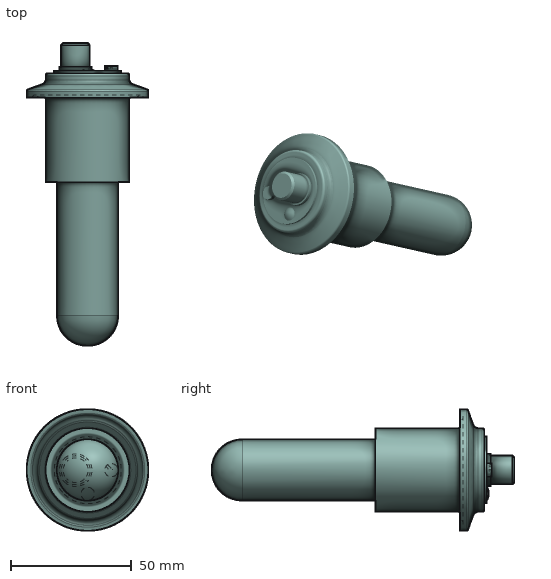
import cadquery as cq
import math


overall_length = 125.5
rod_radius = 25.5 / 2
sleeve_radius = 34.7 / 2
sleeve_length = 35.0
sleeve_root_fillet = 0.5

flange_radius = 50.5 / 2
rim_thickness = 3.2
cone_angle = 20.0
rim_fillet = 0.8
cone_root_fillet = 2.0

groove_center_radius = 21.8
groove_half_width = 1.8
groove_arc_radius = 1.2
groove_lip_radius = 0.75

head_top = 10.1
head_edge_fillet = 1.0
cover_radius = 27.8 / 2
cover_thickness = 1.1
cover_top = head_top + cover_thickness

connector_x = -5.0
connector_radius = 12.0 / 2
connector_tip_radius = 10.3 / 2
connector_collar_radius = 13.5 / 2
connector_collar_height = 1.5
connector_height = 11.4
connector_top = cover_top + connector_height

vent_x = 9.8
vent_radius = 5.5 / 2
vent_height = 1.9
vent_hole_diameter = 1.0
vent_hole_drop = 0.75
vent_hole_angle = 135.0

dome_z = -vent_x
dome_radius = 5.5 / 2
dome_height = 0.8

tip_y = connector_top - overall_length
match_tolerance = 1e-3


def disc(radius, y_start, height, x=0.0):
    """Cylinder along +Y, starting at y_start."""
    return cq.Workplane(cq.Solid.makeCylinder(radius, height, cq.Vector(x, y_start, 0), cq.Vector(0, 1, 0)))


def fillet_ring(body, radius, y, size):
    """Fillet the circular edge of the given radius that lies in the plane at y."""
    def is_ring(edge):
        return abs(edge.radius() - radius) < match_tolerance and abs(edge.Center().y - y) < match_tolerance

    return body.edges("%CIRCLE").filter(is_ring).fillet(size)


def make_body():
    """Rod with round tip, sleeve, conical clamp flange and head."""
    cone_rise = (flange_radius - sleeve_radius) * math.tan(math.radians(cone_angle))
    cone_top = rim_thickness + cone_rise
    rod_end = tip_y + rod_radius
    tip_arc_offset = rod_radius * math.sqrt(0.5)
    body = (
        cq.Workplane("XY")
        .moveTo(0, tip_y)
        .threePointArc((tip_arc_offset, rod_end - tip_arc_offset), (rod_radius, rod_end))
        .lineTo(rod_radius, -sleeve_length)
        .lineTo(sleeve_radius, -sleeve_length)
        .lineTo(sleeve_radius, 0)
        .lineTo(flange_radius, 0)
        .lineTo(flange_radius, rim_thickness)
        .lineTo(sleeve_radius, cone_top)
        .lineTo(sleeve_radius, head_top)
        .lineTo(0, head_top)
        .close()
        .revolve(360, (0, 0, 0), (0, 1, 0))
    )
    body = fillet_ring(body, sleeve_radius, 0, sleeve_root_fillet)
    body = fillet_ring(body, flange_radius, rim_thickness, rim_fillet)
    body = fillet_ring(body, sleeve_radius, cone_top, cone_root_fillet)
    return fillet_ring(body, sleeve_radius, head_top, head_edge_fillet)


def make_groove():
    """Ring groove: a concave arc that runs tangent into two rounded lips."""
    reach = groove_arc_radius + groove_lip_radius
    sin_junction = groove_half_width / reach
    cos_junction = math.sqrt(1 - sin_junction**2)
    depth = reach * (1 - cos_junction)
    junction_offset = groove_arc_radius * sin_junction
    junction_y = groove_lip_radius * (1 - cos_junction)
    inner = groove_center_radius - groove_half_width
    outer = groove_center_radius + groove_half_width
    return (
        cq.Workplane("XY")
        .moveTo(inner, 0)
        .radiusArc((groove_center_radius - junction_offset, junction_y), -groove_lip_radius)
        .threePointArc((groove_center_radius, depth), (groove_center_radius + junction_offset, junction_y))
        .radiusArc((outer, 0), -groove_lip_radius)
        .close()
        .revolve(360, (0, 0, 0), (0, 1, 0))
    )


def make_connector():
    """Plug with a chamfered end on a low collar."""
    collar = disc(connector_collar_radius, cover_top, connector_collar_height, connector_x)
    plug = disc(connector_radius, cover_top, connector_height, connector_x)
    plug = plug.faces(">Y").chamfer(connector_radius - connector_tip_radius)
    return collar.union(plug)


def make_vent():
    """Short pin with a radial hole from its side to its axis."""
    angle = math.radians(vent_hole_angle)
    hole_start = cq.Vector(vent_x, cover_top + vent_height - vent_hole_drop, 0)
    hole_direction = cq.Vector(math.cos(angle), 0, math.sin(angle))
    hole = cq.Solid.makeCylinder(vent_hole_diameter / 2, 2 * vent_radius, hole_start, hole_direction)
    return disc(vent_radius, cover_top, vent_height, vent_x).cut(cq.Workplane(hole))


def make_dome():
    """Shallow spherical cap on the cover."""
    sphere_radius = (dome_radius**2 + dome_height**2) / (2 * dome_height)
    return (
        cq.Workplane("XY", origin=(0, cover_top, dome_z))
        .lineTo(dome_radius, 0)
        .radiusArc((0, dome_height), -sphere_radius)
        .close()
        .revolve(360, (0, 0, 0), (0, 1, 0))
    )


result = (
    make_body()
    .cut(make_groove())
    .union(disc(cover_radius, head_top, cover_thickness))
    .union(make_connector())
    .union(make_vent())
    .union(make_dome())
)